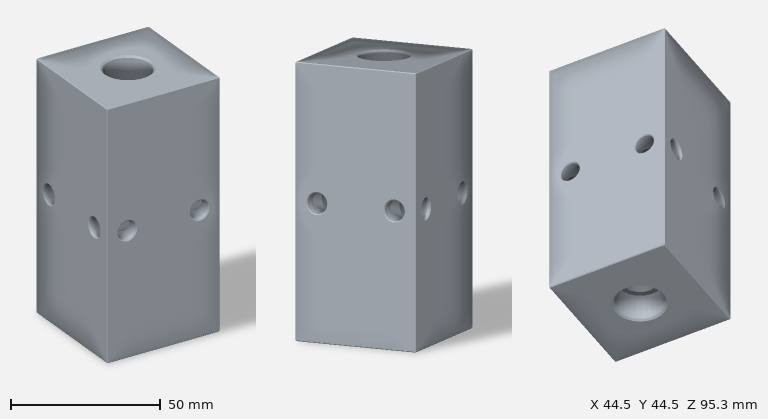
import cadquery as cq

height = 95.25
width = 44.5
edge_chamfer = 0.3

bore_diameter = 12.8
port_mouth_diameter = 17.1
port_depth = 10.5
port_chamfer = 0.7
port_taper = 1 / 16

cross_diameter = 7.1
cross_spacing = 28.6
cross_chamfer = 0.4


def make_hole_cutter(diameter, depth, chamfer, taper=0):
    """Round cutter along +Z from the origin, narrowing by its taper past a 45 degree mouth chamfer."""
    radius = diameter / 2
    end_radius = radius - taper * (depth - chamfer) / 2
    profile = [
        (0, 0),
        (radius + chamfer, 0),
        (radius, chamfer),
        (end_radius, depth),
        (0, depth),
    ]
    return cq.Workplane("XZ").polyline(profile).close().revolve(360, (0, 0), (0, 1))


def cut_bore_and_ports(body):
    """Cut the through bore and the port at the top and bottom faces."""
    body = body.faces(">Z").workplane().hole(bore_diameter)
    bottom_port = make_hole_cutter(port_mouth_diameter, port_depth, port_chamfer, port_taper)
    top_port = bottom_port.mirror("XY").translate((0, 0, height))
    return body.cut(bottom_port).cut(top_port)


def cut_cross_holes(body):
    """Cut a pair of through holes along X and another along Y, chamfered at both ends."""
    half_cutter = make_hole_cutter(cross_diameter, width / 2, cross_chamfer)
    half_cutter = half_cutter.translate((0, 0, -width / 2))
    cutter = half_cutter.union(half_cutter.mirror("XY"))
    along_x = cutter.rotate((0, 0, 0), (0, 1, 0), 90)
    along_y = cutter.rotate((0, 0, 0), (1, 0, 0), 90)
    for side in (-1, 1):
        offset = side * cross_spacing / 2
        body = body.cut(along_x.translate((0, offset, height / 2)))
        body = body.cut(along_y.translate((offset, 0, height / 2)))
    return body


block = cq.Workplane("XY").box(width, width, height, centered=(True, True, False))
block = block.edges().chamfer(edge_chamfer)
result = cut_cross_holes(cut_bore_and_ports(block))